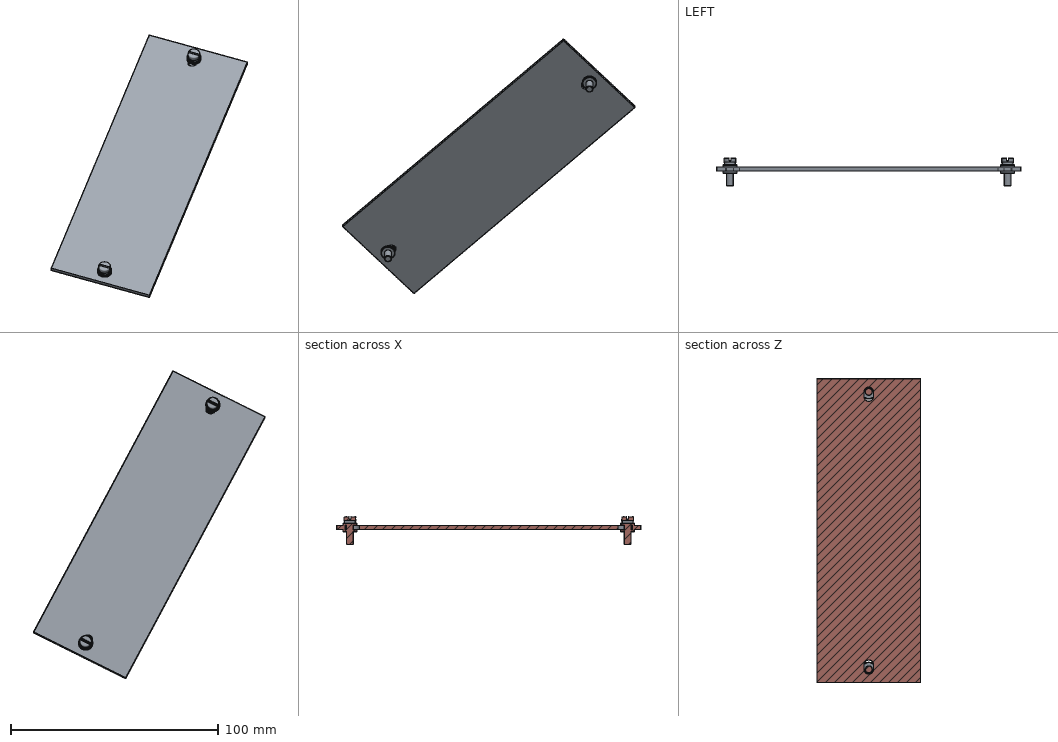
import cadquery as cq

plate_width = 50.0
plate_length = 146.7
plate_thickness = 2.0

screw_edge_distance = 6.4
hole_width = 4.4
hole_inner_reach = 4.5

overall_height = 13.53
head_stack_height = 4.3
shank_diameter = 3.4
shank_tip_chamfer = 0.3
head_diameter = 5.8
head_edge_radius = 0.5
driver_slot_width = 0.8
driver_slot_depth = 1.2

washer_diameter = 6.9
washer_thickness = 1.1
washer_chamfer = 0.3

groove_height = 1.3
groove_depth = 0.2
wire_hole_diameter = 1.1

screw_y = plate_length / 2 - screw_edge_distance
head_top_z = plate_thickness + head_stack_height
head_bottom_z = plate_thickness + washer_thickness
shank_bottom_z = head_top_z - overall_height
groove_top_z = head_bottom_z + groove_height
groove_middle_z = head_bottom_z + groove_height / 2


def disc(diameter, bottom_z, top_z):
    """Cylinder on the Z axis between two heights."""
    return cq.Workplane("XY").workplane(offset=bottom_z).circle(diameter / 2).extrude(top_z - bottom_z)


def plate():
    """Flat plate with an obround hole along Y at each end."""
    hole_radius = hole_width / 2
    hole_length = hole_radius + hole_inner_reach
    hole_y = screw_y - hole_inner_reach + hole_length / 2
    return (
        cq.Workplane("XY")
        .box(plate_width, plate_length, plate_thickness, centered=(True, True, False))
        .faces(">Z")
        .workplane()
        .pushPoints([(0, -hole_y), (0, hole_y)])
        .slot2D(hole_length, hole_width, 90)
        .cutThruAll()
    )


def head_groove():
    """Ring with an arc-shaped section that hollows the side of the head."""
    head_radius = head_diameter / 2
    return (
        cq.Workplane("XZ")
        .moveTo(head_radius, head_bottom_z)
        .threePointArc((head_radius - groove_depth, groove_middle_z), (head_radius, groove_top_z))
        .close()
        .revolve(360, (0, 0, 0), (0, 1, 0))
    )


def driver_slot():
    """Screwdriver slot along X, open at the top of the head."""
    return (
        cq.Workplane("XY")
        .workplane(offset=head_top_z)
        .box(2 * head_diameter, driver_slot_width, 2 * driver_slot_depth)
    )


def wire_hole():
    """Cross hole along Y at the middle of the groove."""
    return (
        cq.Workplane("XZ")
        .center(0, groove_middle_z)
        .circle(wire_hole_diameter / 2)
        .extrude(head_diameter, both=True)
    )


def screw():
    """Slotted screw with a washer above and below the plate, on the Z axis."""
    head = disc(head_diameter, head_bottom_z, head_top_z).faces(">Z").edges().fillet(head_edge_radius)
    shank = disc(shank_diameter, shank_bottom_z, head_bottom_z).faces("<Z").chamfer(shank_tip_chamfer)
    upper_washer = disc(washer_diameter, plate_thickness, head_bottom_z).faces(">Z").chamfer(washer_chamfer)
    lower_washer = disc(washer_diameter, -washer_thickness, 0).faces("<Z").chamfer(washer_chamfer)
    head = head.cut(head_groove()).cut(driver_slot())
    return head.union(shank).union(upper_washer).union(lower_washer).cut(wire_hole())


result = plate()
for y in (-screw_y, screw_y):
    result = result.union(screw().translate((0, y, 0)))